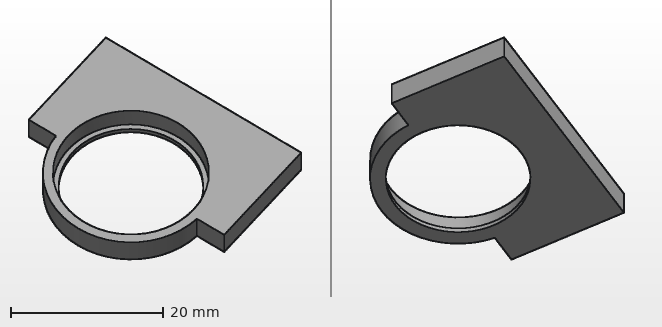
import cadquery as cq

plate_width = 32.0
plate_depth = 17.0
thickness = 3.7

center_to_back = 16.0
ring_radius = 11.6

lip_diameter = 19.0
seat_diameter = 20.5
lip_height = 0.75


def make_body():
    """Rectangular plate with a round boss projecting from its front edge."""
    plate = (
        cq.Workplane("XY")
        .center(0, center_to_back - plate_depth / 2)
        .rect(plate_width, plate_depth)
        .extrude(thickness)
    )
    ring = cq.Workplane("XY").circle(ring_radius).extrude(thickness)
    return plate.union(ring)


def make_bore():
    """Through hole widened above the lip."""
    through_hole = cq.Workplane("XY").circle(lip_diameter / 2).extrude(thickness)
    seat = (
        cq.Workplane("XY")
        .workplane(offset=lip_height)
        .circle(seat_diameter / 2)
        .extrude(thickness - lip_height)
    )
    return through_hole.union(seat)


result = make_body().cut(make_bore())